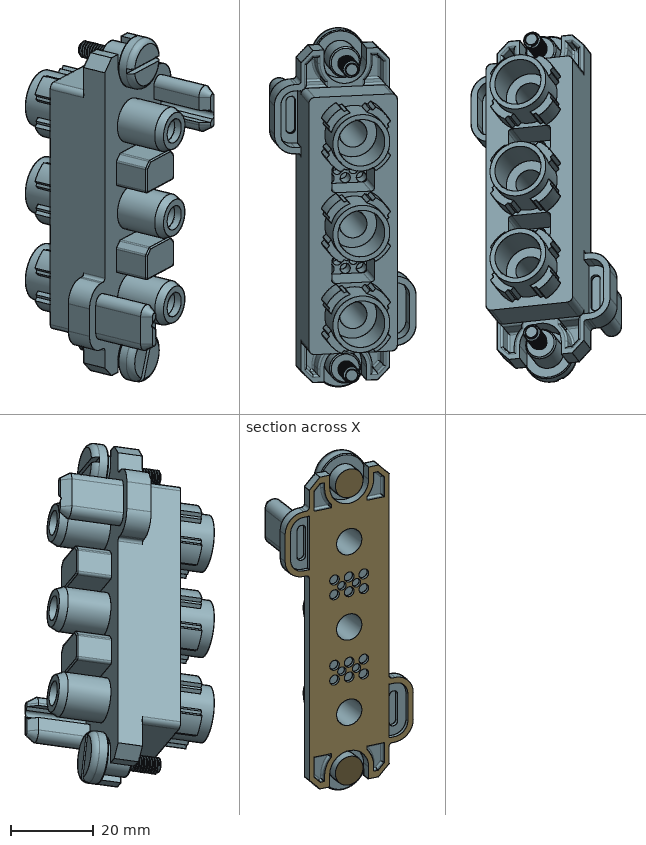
import cadquery as cq
import math


OVERALL_HEIGHT = 88.8
BODY_BACK = 9.95
PLATE_BACK = 19.7
PLATE_FRONT = 25.9
OVERALL_LENGTH = 41.5

BODY_HALF_WIDTH = 10.9
BODY_HALF_HEIGHT = 32.0
BODY_CORNER_RADIUS = 1.4
PLATE_HALF_HEIGHT = 41.3
PLATE_CHAMFER = 2.9

SCREW_Z = 38.0
SLOT_RADIUS = 5.2
SLEEVE_RADIUS = 3.8
SLEEVE_CHAMFER = 0.35
HEAD_BACK = 26.7
HEAD_FRONT = 30.8
HEAD_RADIUS = OVERALL_HEIGHT / 2 - SCREW_Z
HEAD_BACK_CHAMFER = 0.3
HEAD_ROUND_LENGTH = 1.7
HEAD_ROUND_INSET = 1.15
DRIVE_SLOT_WIDTH = 1.2
DRIVE_SLOT_DEPTH = 1.7
LOWER_SCREW_TURN = 70
SHANK_TIP = 11.7
THREAD_END = 18.9
CORE_RADIUS = 1.6
TIP_CHAMFER = 0.2
CREST_RADIUS = 2.0
THREAD_PITCH = 0.7
THREAD_ROOT_WIDTH = 0.6
THREAD_CREST_WIDTH = 0.2
THREAD_ROOT_OVERLAP = 0.1

POCKET_DEPTH = 4.6
POCKET_FILLET = 0.5
POCKET_INNER_Y = 4.9
POCKET_OUTER_Y = 9.5
POCKET_BOTTOM_Z = BODY_HALF_HEIGHT + 0.6
POCKET_TOP_Z = 39.4
POCKET_ARC_RADIUS = 6.75
RIM_MARGIN = 0.1

EAR_Z = 24.4
EAR_HALF_HEIGHT = 8.6
EAR_TIP_Y = 17.5
EAR_RADIUS = 5.1
EAR_ROOT_FILLET = 0.8
EAR_WALL = 1.6
BLADE_Y = 12.5
BLADE_WIDTH = 4.6
BLADE_HEIGHT = 11.7
BLADE_TIP_LENGTH = 2.4
BLADE_TIP_INSET = 1.55
EAR_SLOT_WIDTH = 2.3
EAR_SLOT_HEIGHT = 9.2
EAR_SLOT_DEPTH = 1.1
GROOVE_Z = 23.1
GROOVE_RADIUS = 0.9
GROOVE_LEAD_IN = 0.7

PORT_SPACING = 22.55
SOCKET_RADIUS = 7.0
SOCKET_BORE_RADIUS = 5.8
PLUG_RADIUS = 5.5
PLUG_FRONT = 38.8
PLUG_TIP_LENGTH = 1.95
PLUG_TIP_INSET = 0.9
PORT_BORE_RADIUS = 3.4
PORT_LIP_RADIUS = 3.0
LUG_COUNT = 4
LUG_FIRST_ANGLE = 45
LUG_BACK = 3.5
LUG_RADIUS = 9.0
LUG_WIDTH = 5.15
LUG_STEP_RADIUS = 8.0
LUG_STEP_WIDTH = 6.6

GROUP_Z = PORT_SPACING / 2
RECESS_WIDTH = 10.6
RECESS_HEIGHT = 6.5
RECESS_CORNER_RADIUS = 0.9
CONTACT_HOLE_RADIUS = 1.2
CONTACT_HOLE_DEPTH = 4.4
CONTACT_PITCH_Y = 4.0
CONTACT_PITCH_Z = 3.9
MIDDLE_HOLE_RADIUS = 1.1
SIGNAL_BLOCK_FRONT = 34.8
SIGNAL_BLOCK_WIDTH = 11.9
SIGNAL_BLOCK_HEIGHT = 8.1
SIGNAL_BLOCK_CHAMFER = 1.6
SIGNAL_BLOCK_CHAMFER_FILLET = 0.6
SIGNAL_BLOCK_BOTTOM_FILLET = 0.7
SIGNAL_BLOCK_EDGE = 0.35


def section(x):
    """Workplane across the X axis at x, with local axes Y and Z."""
    return cq.Workplane("YZ", origin=(x, 0, 0))


def rod(x_start, x_end, radius, y, z):
    return section(x_start).center(y, z).circle(radius).extrude(x_end - x_start)


def both_ends(shape):
    """The shape and its copy turned half a turn about the X axis."""
    return shape.union(shape.rotate((0, 0, 0), (1, 0, 0), 180))


def main_block():
    return (
        section(BODY_BACK)
        .rect(2 * BODY_HALF_WIDTH, 2 * BODY_HALF_HEIGHT)
        .extrude(PLATE_FRONT - BODY_BACK)
        .edges("|X")
        .fillet(BODY_CORNER_RADIUS)
    )


def mounting_plate():
    thickness = PLATE_FRONT - PLATE_BACK
    plate = (
        section(PLATE_BACK)
        .rect(2 * BODY_HALF_WIDTH, 2 * PLATE_HALF_HEIGHT)
        .extrude(thickness)
        .edges("|X")
        .chamfer(PLATE_CHAMFER)
    )
    ear = (
        section(PLATE_BACK)
        .center(EAR_TIP_Y / 2, EAR_Z)
        .rect(EAR_TIP_Y, 2 * EAR_HALF_HEIGHT)
        .extrude(thickness)
        .edges("|X and >Y")
        .fillet(EAR_RADIUS)
    )
    plate = plate.union(both_ends(ear))
    for side in (1, -1):
        for end in (1, -1):
            root = cq.selectors.NearestToPointSelector(
                (
                    (PLATE_BACK + PLATE_FRONT) / 2,
                    side * BODY_HALF_WIDTH,
                    side * EAR_Z + end * EAR_HALF_HEIGHT,
                )
            )
            plate = plate.edges("|X").edges(root).fillet(EAR_ROOT_FILLET)
    return plate


def screw_slots():
    """U-shaped slots, open at the ends of the plate."""
    end_length = PLATE_HALF_HEIGHT - SCREW_Z
    channel = (
        section(PLATE_BACK)
        .center(0, SCREW_Z + end_length / 2)
        .rect(2 * SLOT_RADIUS, end_length)
        .extrude(PLATE_FRONT - PLATE_BACK)
    )
    return both_ends(channel.union(rod(PLATE_BACK, PLATE_FRONT, SLOT_RADIUS, 0, SCREW_Z)))


def corner_pocket():
    """Blind pocket between the screw slot and the plate's +Y, +Z corner."""
    arc_end = -math.acos(POCKET_INNER_Y / POCKET_ARC_RADIUS)
    arc_end_z = SCREW_Z + POCKET_ARC_RADIUS * math.sin(arc_end)
    arc_middle = arc_end / 2
    wall = BODY_HALF_WIDTH - POCKET_OUTER_Y
    chamfer_sum = BODY_HALF_WIDTH + PLATE_HALF_HEIGHT - PLATE_CHAMFER - wall * math.sqrt(2)
    return (
        section(PLATE_BACK)
        .moveTo(POCKET_INNER_Y, POCKET_BOTTOM_Z)
        .lineTo(POCKET_OUTER_Y, POCKET_BOTTOM_Z)
        .lineTo(POCKET_OUTER_Y, chamfer_sum - POCKET_OUTER_Y)
        .lineTo(chamfer_sum - POCKET_TOP_Z, POCKET_TOP_Z)
        .lineTo(POCKET_ARC_RADIUS, POCKET_TOP_Z)
        .lineTo(POCKET_ARC_RADIUS, SCREW_Z)
        .threePointArc(
            (
                POCKET_ARC_RADIUS * math.cos(arc_middle),
                SCREW_Z + POCKET_ARC_RADIUS * math.sin(arc_middle),
            ),
            (POCKET_INNER_Y, arc_end_z),
        )
        .close()
        .extrude(POCKET_DEPTH)
        .faces(">X")
        .edges()
        .fillet(POCKET_FILLET)
    )


def corner_pockets():
    """The four corner pockets, each widened at its mouth by the rounding of its rim."""
    pocket = corner_pocket()
    blank = (
        section(PLATE_BACK)
        .center(BODY_HALF_WIDTH / 2, PLATE_HALF_HEIGHT / 2)
        .rect(BODY_HALF_WIDTH, PLATE_HALF_HEIGHT)
        .extrude(PLATE_FRONT - PLATE_BACK)
    )
    rim = cq.selectors.BoxSelector(
        (PLATE_BACK - RIM_MARGIN, POCKET_INNER_Y - RIM_MARGIN, POCKET_BOTTOM_Z - RIM_MARGIN),
        (PLATE_BACK + RIM_MARGIN, POCKET_OUTER_Y + RIM_MARGIN, POCKET_TOP_Z + RIM_MARGIN),
    )
    rounded_blank = blank.cut(pocket).edges(rim).fillet(POCKET_FILLET)
    pocket = blank.cut(rounded_blank)
    return both_ends(pocket.union(pocket.mirror("XZ")))


def ear_pockets():
    """Pockets in the back of the ears, open towards the block, each with a slot in its floor."""
    pocket_tip = EAR_TIP_Y - EAR_WALL
    depth = pocket_tip - BODY_HALF_WIDTH
    pocket = (
        section(PLATE_BACK)
        .center(BODY_HALF_WIDTH + depth / 2, EAR_Z)
        .rect(depth, 2 * (EAR_HALF_HEIGHT - EAR_WALL))
        .extrude(POCKET_DEPTH)
        .edges("|X and >Y")
        .fillet(EAR_RADIUS - EAR_WALL)
    )
    slot = (
        section(PLATE_BACK)
        .center(BLADE_Y, EAR_Z)
        .slot2D(EAR_SLOT_HEIGHT, EAR_SLOT_WIDTH, 90)
        .extrude(POCKET_DEPTH + EAR_SLOT_DEPTH)
    )
    return both_ends(pocket.union(slot))


def guide_blades():
    """Flat round-edged blades with tapered tips and a groove along the face towards the plugs."""
    tip_start = OVERALL_LENGTH - BLADE_TIP_LENGTH
    taper = math.degrees(math.atan2(BLADE_TIP_INSET, BLADE_TIP_LENGTH))
    blade = (
        section(PLATE_FRONT)
        .center(BLADE_Y, EAR_Z)
        .slot2D(BLADE_HEIGHT, BLADE_WIDTH, 90)
        .extrude(tip_start - PLATE_FRONT)
    )
    tip = (
        section(tip_start)
        .center(BLADE_Y, EAR_Z)
        .slot2D(BLADE_HEIGHT, BLADE_WIDTH, 90)
        .extrude(BLADE_TIP_LENGTH, taper=taper)
    )
    face_y = BLADE_Y - BLADE_WIDTH / 2
    wall_y = face_y + BLADE_TIP_INSET
    round_y = wall_y + GROOVE_LEAD_IN
    mouth = GROOVE_RADIUS + GROOVE_LEAD_IN
    groove = (
        section(PLATE_FRONT)
        .moveTo(face_y, GROOVE_Z - mouth)
        .lineTo(wall_y, GROOVE_Z - mouth)
        .lineTo(round_y, GROOVE_Z - GROOVE_RADIUS)
        .threePointArc((round_y + GROOVE_RADIUS, GROOVE_Z), (round_y, GROOVE_Z + GROOVE_RADIUS))
        .lineTo(wall_y, GROOVE_Z + mouth)
        .lineTo(face_y, GROOVE_Z + mouth)
        .close()
        .extrude(OVERALL_LENGTH - PLATE_FRONT)
    )
    return both_ends(blade.union(tip).cut(groove))


def locking_lug(angle):
    """Stepped lug on a socket, pointing away from the X axis at the given angle."""
    length = BODY_BACK - LUG_BACK
    lug = None
    for radius, width in ((LUG_RADIUS, LUG_WIDTH), (LUG_STEP_RADIUS, LUG_STEP_WIDTH)):
        strip = section(LUG_BACK).center(radius / 2, 0).rect(radius, width).extrude(length)
        step = strip.intersect(section(LUG_BACK).circle(radius).extrude(length))
        lug = step if lug is None else lug.union(step)
    return lug.rotate((0, 0, 0), (1, 0, 0), angle)


def port():
    """Socket with its ring of lugs, and the plug in line with it."""
    socket = rod(0, BODY_BACK, SOCKET_RADIUS, 0, 0)
    for index in range(LUG_COUNT):
        socket = socket.union(locking_lug(LUG_FIRST_ANGLE + index * 360 / LUG_COUNT))
    plug = (
        rod(PLATE_FRONT, PLUG_FRONT, PLUG_RADIUS, 0, 0)
        .faces(">X")
        .edges()
        .chamfer(PLUG_TIP_LENGTH, PLUG_TIP_INSET)
    )
    return socket.union(plug)


def port_bore():
    wide = rod(0, BODY_BACK, SOCKET_BORE_RADIUS, 0, 0)
    narrow = rod(BODY_BACK, PLUG_FRONT - PLUG_TIP_LENGTH, PORT_BORE_RADIUS, 0, 0)
    lip = rod(PLUG_FRONT - PLUG_TIP_LENGTH, PLUG_FRONT, PORT_LIP_RADIUS, 0, 0)
    return wide.union(narrow).union(lip)


def signal_block():
    """Block with bevelled upper corners and rounded lower corners."""
    block = (
        section(PLATE_FRONT)
        .rect(SIGNAL_BLOCK_WIDTH, SIGNAL_BLOCK_HEIGHT)
        .extrude(SIGNAL_BLOCK_FRONT - PLATE_FRONT)
        .edges("|X and <Z")
        .fillet(SIGNAL_BLOCK_BOTTOM_FILLET)
        .edges("|X and >Z")
        .chamfer(SIGNAL_BLOCK_CHAMFER)
    )
    chamfer_edges = cq.selectors.BoxSelector(
        (PLATE_FRONT, -SIGNAL_BLOCK_WIDTH, 0),
        (SIGNAL_BLOCK_FRONT, SIGNAL_BLOCK_WIDTH, SIGNAL_BLOCK_HEIGHT),
    )
    block = block.edges("|X").edges(chamfer_edges).fillet(SIGNAL_BLOCK_CHAMFER_FILLET)
    return block.faces(">X").edges().chamfer(SIGNAL_BLOCK_EDGE)


def signal_recess():
    """Recess in the back of the block, with eight blind contact holes in its floor."""
    recess = (
        section(BODY_BACK)
        .rect(RECESS_WIDTH, RECESS_HEIGHT)
        .extrude(PLATE_BACK - BODY_BACK)
        .edges("|X")
        .fillet(RECESS_CORNER_RADIUS)
    )
    outer_holes = (
        section(PLATE_BACK)
        .rarray(CONTACT_PITCH_Y, CONTACT_PITCH_Z, 3, 2)
        .circle(CONTACT_HOLE_RADIUS)
        .extrude(CONTACT_HOLE_DEPTH)
    )
    middle_holes = (
        section(PLATE_BACK)
        .rarray(CONTACT_PITCH_Y, 0.9, 2, 1)
        .circle(MIDDLE_HOLE_RADIUS)
        .extrude(CONTACT_HOLE_DEPTH)
    )
    return recess.union(outer_holes).union(middle_holes)


def make_housing():
    plate = mounting_plate().cut(screw_slots()).cut(corner_pockets()).cut(ear_pockets())
    body = plate.union(main_block()).union(guide_blades())
    for index in (-1, 0, 1):
        body = body.union(port().translate((0, 0, index * PORT_SPACING)))
        body = body.cut(port_bore().translate((0, 0, index * PORT_SPACING)))
    for z in (-GROUP_Z, GROUP_Z):
        body = body.union(signal_block().translate((0, 0, z)))
        body = body.cut(signal_recess().translate((0, 0, z)))
    return body


def thread_ridge():
    """Helical ridge along the shank; its foot sinks slightly into the core."""
    foot_radius = CORE_RADIUS - THREAD_ROOT_OVERLAP
    start = SHANK_TIP + THREAD_ROOT_WIDTH / 2
    length = THREAD_END - THREAD_ROOT_WIDTH / 2 - start
    helix = cq.Wire.makeHelix(THREAD_PITCH, length, foot_radius)
    ridge = (
        cq.Workplane("XZ")
        .moveTo(foot_radius, -THREAD_ROOT_WIDTH / 2)
        .lineTo(CREST_RADIUS, -THREAD_CREST_WIDTH / 2)
        .lineTo(CREST_RADIUS, THREAD_CREST_WIDTH / 2)
        .lineTo(foot_radius, THREAD_ROOT_WIDTH / 2)
        .close()
        .sweep(cq.Workplane(helix), isFrenet=True)
    )
    return ridge.rotate((0, 0, 0), (0, 1, 0), 90).translate((start, 0, 0))


def screw_head():
    """Head with a small chamfer behind and a rounded rim that meets the flat front at an edge."""
    round_start = HEAD_FRONT - HEAD_ROUND_LENGTH
    front_radius = HEAD_RADIUS - HEAD_ROUND_INSET
    return (
        cq.Workplane("XY")
        .moveTo(HEAD_BACK, 0)
        .lineTo(HEAD_BACK, HEAD_RADIUS - HEAD_BACK_CHAMFER)
        .lineTo(HEAD_BACK + HEAD_BACK_CHAMFER, HEAD_RADIUS)
        .lineTo(round_start, HEAD_RADIUS)
        .tangentArcPoint((HEAD_FRONT, front_radius), relative=False)
        .lineTo(HEAD_FRONT, 0)
        .close()
        .revolve(360, (0, 0, 0), (1, 0, 0))
    )


def make_screw(z, turn):
    """Slotted captive screw along X, turned about its own axis."""
    core = rod(SHANK_TIP, PLATE_BACK, CORE_RADIUS, 0, 0).faces("<X").chamfer(TIP_CHAMFER)
    sleeve = rod(PLATE_BACK, HEAD_BACK, SLEEVE_RADIUS, 0, 0).faces("<X").chamfer(SLEEVE_CHAMFER)
    drive_slot = (
        section(HEAD_FRONT - DRIVE_SLOT_DEPTH)
        .rect(2 * HEAD_RADIUS, DRIVE_SLOT_WIDTH)
        .extrude(DRIVE_SLOT_DEPTH)
    )
    screw = core.union(thread_ridge()).union(sleeve).union(screw_head()).cut(drive_slot)
    return screw.rotate((0, 0, 0), (1, 0, 0), turn).translate((0, 0, z))


housing = make_housing()
screws = [make_screw(z, turn) for z, turn in ((SCREW_Z, 0), (-SCREW_Z, LOWER_SCREW_TURN))]

result = cq.Compound.makeCompound([housing.val(), *[screw.val() for screw in screws]])